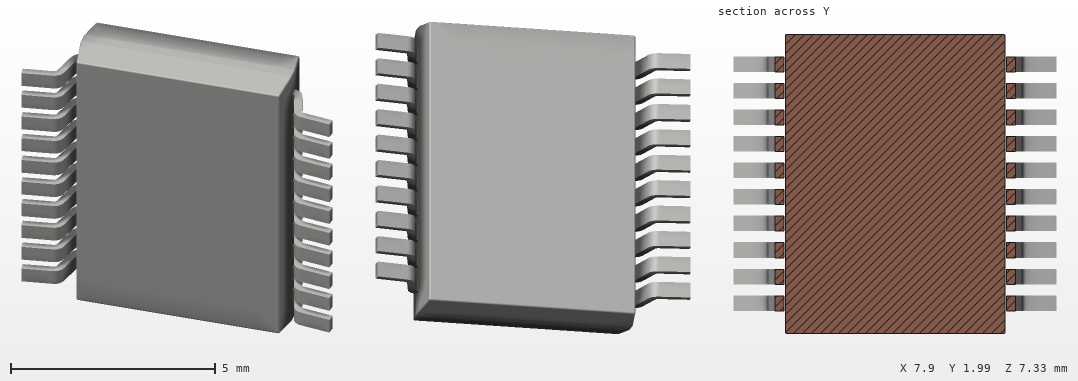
import cadquery as cq
import math

BODY_WIDTH = 5.38
BODY_HEIGHT = 7.33
BODY_DEPTH = 1.78
BAND_DEPTH = 0.30
DRAFT_ANGLE = 8.0
EDGE_RADIUS = 0.045

LEADS_PER_SIDE = 10
LEAD_PITCH = 0.65
LEAD_WIDTH = 0.38
LEAD_THICKNESS = 0.195
LEAD_SPAN = 7.90
INNER_BEND_RADIUS = 0.08
RISER_ANGLE = 75.0
FOOT_ANGLE = 8.0
FOOT_LENGTH = 0.775
LEAD_EMBED = 0.30

OVERALL_DEPTH = 1.99

HALF_DEPTH = BODY_DEPTH / 2
HALF_BAND = BAND_DEPTH / 2
FOOT_LOWEST_Y = HALF_DEPTH - OVERALL_DEPTH


def body_half():
    """Half of the body on the +Y side: half the band, then the tapered cap."""
    band = cq.Workplane("XZ").rect(BODY_WIDTH, BODY_HEIGHT).extrude(-HALF_BAND)
    cap = (
        cq.Workplane("XZ", origin=(0, HALF_BAND, 0))
        .rect(BODY_WIDTH, BODY_HEIGHT)
        .extrude(-(HALF_DEPTH - HALF_BAND), taper=DRAFT_ANGLE)
    )
    return band.union(cap)


def make_body():
    half = body_half()
    body = half.union(half.mirror("XZ")).clean()
    corners = body.edges("not(#Y)")
    rims = body.faces("<Y or >Y").edges()
    return body.newObject(corners.vals() + rims.vals()).fillet(EDGE_RADIUS)


def shifted(point, distance, angle):
    """Point moved by a distance in the direction given by an angle in radians."""
    return (point[0] + distance * math.cos(angle), point[1] + distance * math.sin(angle))


def lead_profile():
    """Outline of a +X lead in XY, worked out back from the tip of the foot."""
    riser = math.radians(RISER_ANGLE)
    foot = math.radians(FOOT_ANGLE)
    half = LEAD_THICKNESS / 2
    inner = INNER_BEND_RADIUS
    outer = inner + LEAD_THICKNESS
    middle = inner + half

    foot_up = math.pi / 2 - foot
    riser_up = math.pi / 2 - riser
    exit_up = math.pi / 2

    tip = (
        LEAD_SPAN / 2 - half * math.sin(foot),
        FOOT_LOWEST_Y + half * math.cos(foot),
    )
    foot_start = shifted(tip, FOOT_LENGTH, math.pi - foot)
    lower_centre = shifted(foot_start, middle, foot_up)

    riser_end = shifted(lower_centre, middle, riser_up + math.pi)
    shoulder_drop = middle * (1 - math.cos(riser))
    riser_length = (-shoulder_drop - riser_end[1]) / math.sin(riser)
    riser_start = shifted(riser_end, riser_length, math.pi - riser)
    upper_centre = shifted(riser_start, middle, riser_up + math.pi)

    upper_mid = (exit_up + riser_up) / 2
    lower_mid = (foot_up + riser_up) / 2 + math.pi
    root_x = BODY_WIDTH / 2 - LEAD_EMBED
    return (
        cq.Workplane("XY")
        .moveTo(root_x, half)
        .lineTo(*shifted(upper_centre, outer, exit_up))
        .threePointArc(
            shifted(upper_centre, outer, upper_mid),
            shifted(upper_centre, outer, riser_up),
        )
        .lineTo(*shifted(lower_centre, inner, riser_up + math.pi))
        .threePointArc(
            shifted(lower_centre, inner, lower_mid),
            shifted(lower_centre, inner, foot_up + math.pi),
        )
        .lineTo(*shifted(tip, half, foot_up))
        .lineTo(*shifted(tip, -half, foot_up))
        .lineTo(*shifted(lower_centre, outer, foot_up + math.pi))
        .threePointArc(
            shifted(lower_centre, outer, lower_mid),
            shifted(lower_centre, outer, riser_up + math.pi),
        )
        .lineTo(*shifted(upper_centre, inner, riser_up))
        .threePointArc(
            shifted(upper_centre, inner, upper_mid),
            shifted(upper_centre, inner, exit_up),
        )
        .lineTo(root_x, -half)
        .close()
    )


def make_lead_row():
    """Row of +X leads, centred on Z = 0."""
    lead = lead_profile().extrude(LEAD_WIDTH / 2, both=True)
    first_z = -(LEADS_PER_SIDE - 1) * LEAD_PITCH / 2
    row = cq.Workplane("XY")
    for index in range(LEADS_PER_SIDE):
        row = row.add(lead.translate((0, 0, first_z + index * LEAD_PITCH)))
    return row.combine()


lead_row = make_lead_row()
result = make_body().union(lead_row).union(lead_row.mirror("YZ"))